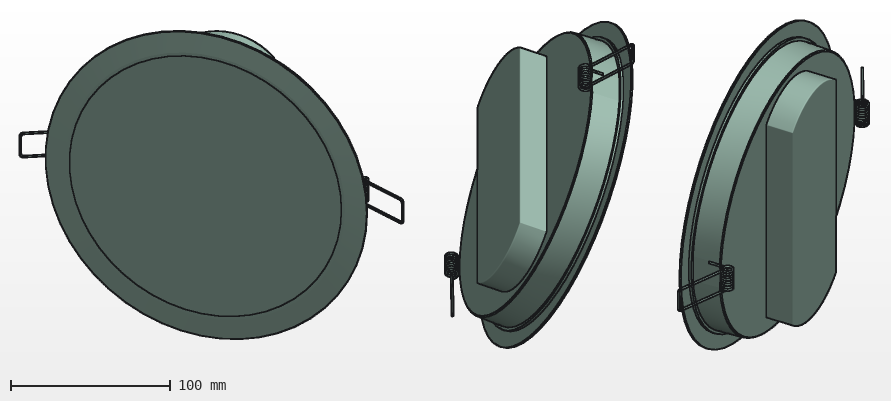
import cadquery as cq
import math


flange_radius = 107.5
flange_rim_front_y = 1.0
flange_back_y = 2.3
front_flat_radius = 93.4
lip_radius = 97.0
lip_back_y = 4.0
drum_front_radius = 95.0
drum_back_radius = 94.0
drum_back_y = 23.1
drum_chamfer = 0.8
flat_half_width = 9.8

diffuser_radius = 91.0
diffuser_thickness = 1.5

overall_depth = 42.0
box_half_width = 30.5
box_half_length = 89.0
box_side_half_length = 76.5
box_edge_radius = 0.8

overall_half_width = 128.5
wire_radius = 0.7
coil_axis_x = 94.5
coil_axis_y = 28.0
coil_radius = 3.5
coil_full_turns = 8
coil_bottom_z = -7.7
arm_half_spacing = 8.2
arm_slope = 27.0
arm_bend_radius = 2.0
leg_height = 8.7
leg_end_y = 15.5


def make_housing_body():
    """Flange, lip and slightly tapered drum, revolved about the Y axis."""
    profile = [
        (0, 0),
        (front_flat_radius, 0),
        (flange_radius, flange_rim_front_y),
        (flange_radius, flange_back_y),
        (lip_radius, flange_back_y),
        (lip_radius, lip_back_y),
        (drum_front_radius, lip_back_y),
        (drum_back_radius, drum_back_y - drum_chamfer),
        (drum_back_radius - drum_chamfer, drum_back_y),
        (0, drum_back_y),
    ]
    return cq.Workplane("XY").polyline(profile).close().revolve(360, (0, 0, 0), (0, 1, 0))


def make_flat_cutter(side):
    """Wedge that cuts a flat into the drum wall behind one spring; side is -1 or +1 along X.

    The flat leans with the taper of the drum, so that it keeps the same width along Y.
    """
    front_x = math.sqrt(drum_front_radius**2 - flat_half_width**2)
    back_x = math.sqrt(drum_back_radius**2 - flat_half_width**2)
    profile = [
        (side * front_x, lip_back_y),
        (side * flange_radius, lip_back_y),
        (side * flange_radius, drum_back_y),
        (side * back_x, drum_back_y),
    ]
    return cq.Workplane("XY").polyline(profile).close().extrude(flat_half_width, both=True)


def make_diffuser():
    """Flat disc set flush into the front face."""
    return cq.Workplane("XZ").circle(diffuser_radius).extrude(-diffuser_thickness)


def make_driver_box():
    """Long box on the back of the drum, with both ends rounded in one arc and all edges softened."""
    box_depth = overall_depth - drum_back_y
    return (
        cq.Workplane("XZ", origin=(0, drum_back_y, 0))
        .moveTo(-box_half_width, -box_side_half_length)
        .lineTo(-box_half_width, box_side_half_length)
        .threePointArc((0, box_half_length), (box_half_width, box_side_half_length))
        .lineTo(box_half_width, -box_side_half_length)
        .threePointArc((0, -box_half_length), (-box_half_width, -box_side_half_length))
        .close()
        .extrude(-box_depth)
        .edges()
        .fillet(box_edge_radius)
    )


def make_straight_wire(start, end):
    """Straight round wire with a ball at its start, so that it joins the next piece smoothly."""
    direction = end - start
    rod = cq.Solid.makeCylinder(wire_radius, direction.Length, start, direction)
    ball = cq.Workplane("XY").sphere(wire_radius).translate(start)
    return cq.Workplane(rod).union(ball)


def make_coil():
    """Right-handed coil about Z, from the arm direction at the bottom up to the leg side (-Y)."""
    start_angle = 180 + arm_slope
    turns = coil_full_turns + (270 - start_angle) / 360
    height = leg_height - coil_bottom_z
    pitch = height / turns
    helix = cq.Wire.makeHelix(pitch, height, coil_radius)
    start_direction = cq.Vector(0, coil_radius, pitch / (2 * math.pi))
    section = cq.Workplane(cq.Plane((coil_radius, 0, 0), (1, 0, 0), start_direction))
    coil = section.circle(wire_radius).sweep(cq.Workplane(helix), isFrenet=True)
    return coil.rotate((0, 0, 0), (0, 0, 1), start_angle).translate((0, 0, coil_bottom_z))


def make_arm_loop():
    """U-shaped wire loop that starts and ends on the coil axis."""
    slope = math.radians(arm_slope)
    reach = (overall_half_width - wire_radius - coil_axis_x) / math.cos(slope)
    outward = (-math.cos(slope), -math.sin(slope), 0)
    normal = (-math.sin(slope), math.cos(slope), 0)
    half = arm_half_spacing
    path = (
        cq.Workplane(cq.Plane((0, 0, 0), outward, normal))
        .moveTo(0, -half)
        .lineTo(reach - arm_bend_radius, -half)
        .tangentArcPoint((arm_bend_radius, arm_bend_radius))
        .lineTo(reach, half - arm_bend_radius)
        .tangentArcPoint((-arm_bend_radius, arm_bend_radius))
        .lineTo(0, half)
    )
    return cq.Workplane(cq.Plane((0, 0, -half), normal, outward)).circle(wire_radius).sweep(path)


def make_spring(side):
    """One wire spring: coil, arm loop and the leg anchored in the drum; side is -1 or +1 along X."""
    leg_start = cq.Vector(0, -coil_radius, leg_height)
    leg_end = cq.Vector(0, leg_end_y - coil_axis_y, leg_height)
    spring = make_coil().union(make_straight_wire(leg_start, leg_end)).union(make_arm_loop())
    spring = spring.translate((-coil_axis_x, coil_axis_y, 0))
    if side > 0:
        spring = spring.mirror("YZ")
    return spring


diffuser = make_diffuser()
driver_box = make_driver_box()

springs = [make_spring(side) for side in (-1, 1)]

housing = make_housing_body().cut(diffuser)
for side in (-1, 1):
    housing = housing.cut(make_flat_cutter(side))
for spring in springs:
    housing = housing.cut(spring)

result = cq.Compound.makeCompound(
    [housing.val(), diffuser.val(), driver_box.val()] + [spring.val() for spring in springs]
)